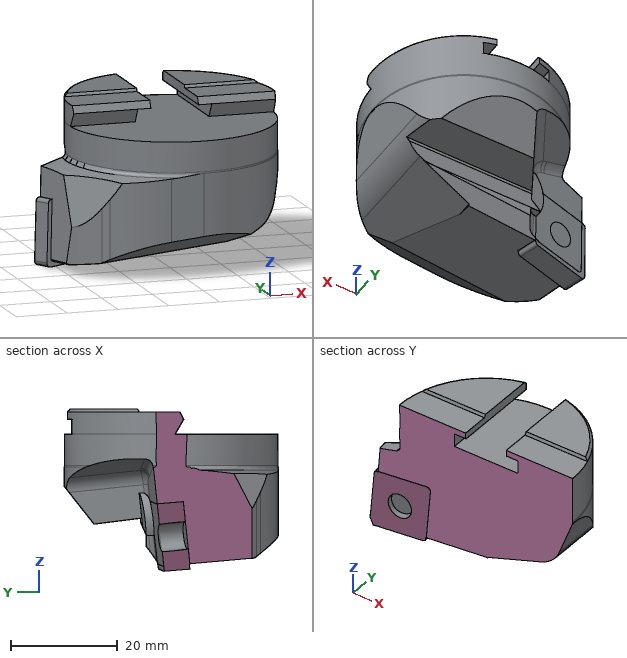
import cadquery as cq
import math

disc_radius = 40.0 / 2
disc_depth = 5.9
far = 70.3

jaw_height = 4.75
ledge_height = 4.15
lip_height = 2.75
jaw_step_back = 6.35
jaw_step_front = 5.95
jaw_top_front = -1.65
jaw_tip_front = -2.35
jaw_root_front = -0.75
slot_half_width = 4.7
undercut_half_width = 7.25
rim_chamfer = jaw_height - ledge_height

body_radius = 20.035
body_depth = 28.1
straight_length = 6.4
flank_angle = math.radians(33.4)
flank_length = 1.5
nose_angle = math.radians(90)
rear_corner_y = 5.62

shoulder_radius = 0.85
shoulder_angle = math.radians(15)
shoulder_reach = 14.05

insert_side = 12.8
insert_thickness = 4.8
insert_hole = 5.15
insert_corner_radius = 0.8
insert_angle = math.radians(80)
insert_nose = (-26.9, -26.35)
insert_rise = 0.09

rake_yaw = 0.2
rake_lean = 0.105
rake_offset = 7.95

pocket_lean = -math.degrees(math.atan(rake_lean))
pocket_wall_x = -9.85
pocket_wall_y = 10.3
pocket_wall_yaw = -30.0
pocket_roof_z = -7.0
pocket_roof_slope = 0.5
roof_fillet = 3.05
corner_fillet = 1.87

pad_height = 1.5
pad_foot = (-14.05, -19.0)
pad_bulge = (-14.55, -15.0)
pad_top = (-12.2, -11.0)
pad_inner_x = -7.95

flank_point = (-24.85, 2.15, -7.87)
flank_normal = (-1, -0.161, 0.08)
facet_corners = [(-23.45, -6.9, -7.8), (-15.7, -17.58, -7.75), (-23.45, -11.35, -16.35)]
under_point = (0, 0, -22.65)
under_normal = (0.1, -0.09, -1)
edge_bevel_point = (-24.0, -10.3, -23.9)
edge_bevel_normal = (-1, -0.26, -1)
front_bevel_point = (0, -body_radius, -18.33)
front_bevel_normal = (0.1, -0.665, -1)
seat_bevel_point = (0, 2.35, -22.85)
seat_bevel_normal = (0.1, 1.3, -1)
seat_back_y = 4.7
seat_slant = [(seat_back_y, -18.9), (5.75, -16.5)]
rear_under_z = -15.05
rear_under_slope = 0.125
back_bevel_point = (0, 19.95, -9.85)
back_bevel_normal = (0, 1.27, -1)

taper_start = (0.35, -22.55)
taper_corner = (15.75, -17.3)
taper_end = (body_radius, -6.25)
taper_fillet = 7.05


def beyond(point, normal):
    """Large block filling the half-space on the normal's side of a plane."""
    return cq.Workplane(cq.Plane(point, normal=normal)).rect(far, far).extrude(far)


def rake_y(x, z):
    return rake_offset + rake_yaw * x + rake_lean * z


def make_disc():
    return cq.Workplane("XY").circle(disc_radius).extrude(-disc_depth - 0.45)


def make_jaws():
    profile = [
        (jaw_root_front, 0), (jaw_tip_front, lip_height), (jaw_top_front, ledge_height),
        (jaw_step_front, ledge_height), (jaw_step_back, jaw_height),
        (disc_radius, jaw_height), (disc_radius, 0),
    ]
    jaws = cq.Workplane("YZ").polyline(profile).close().extrude(disc_radius, both=True)
    round_rim = cq.Workplane("XY").circle(disc_radius).extrude(jaw_height)
    jaws = jaws.intersect(round_rim.faces(">Z").chamfer(rim_chamfer))
    slot = cq.Workplane("XY").rect(2 * slot_half_width, far).extrude(jaw_height)
    undercut = cq.Workplane("XY").rect(2 * undercut_half_width, far).extrude(lip_height)
    return jaws.cut(slot).cut(undercut)


def on_arc(center, angle):
    """Point on an outline arc; the angle runs from -Y towards -X."""
    return (center[0] - body_radius * math.sin(angle), center[1] - body_radius * math.cos(angle))


def make_lower_body():
    front_center = (-straight_length, 0)
    flank_start = on_arc(front_center, flank_angle)
    nose_center = (front_center[0] - flank_length * math.cos(flank_angle),
                   flank_length * math.sin(flank_angle))
    nose_end = on_arc(nose_center, nose_angle)
    return (
        cq.Workplane("XY").moveTo(0, -body_radius)
        .lineTo(*on_arc(front_center, 0))
        .threePointArc(on_arc(front_center, flank_angle / 2), flank_start)
        .lineTo(*on_arc(nose_center, flank_angle))
        .threePointArc(on_arc(nose_center, (flank_angle + nose_angle) / 2), nose_end)
        .lineTo(nose_end[0], rear_corner_y)
        .lineTo(-math.sqrt(body_radius**2 - rear_corner_y**2), rear_corner_y)
        .threePointArc((body_radius, 0), (0, -body_radius))
        .close().extrude(-body_depth)
    )


def make_shoulder():
    """Solid of revolution under the conical shoulder and its blend."""
    sweep = math.pi / 2 - shoulder_angle

    def blend(angle):
        return (disc_radius + shoulder_radius * (1 - math.cos(angle)),
                -disc_depth - shoulder_radius * math.sin(angle))

    start = blend(0)
    end = blend(sweep)
    outer = (end[0] + shoulder_reach, end[1] - shoulder_reach * math.tan(shoulder_angle))
    return (
        cq.Workplane("XZ").moveTo(0, start[1]).lineTo(*start)
        .threePointArc(blend(sweep / 2), end).lineTo(*outer)
        .lineTo(outer[0], -body_depth).lineTo(0, -body_depth).close()
        .revolve(360, (0, 0, 0), (0, 1, 0))
    )


def make_taper():
    profile = [taper_start, taper_corner, taper_end, (far, taper_end[1]), (far, -far), (taper_start[0], -far)]
    taper = cq.Workplane("XZ").polyline(profile).close().extrude(far, both=True)
    corner = cq.selectors.NearestToPointSelector((taper_corner[0], 0, taper_corner[1]))
    return taper.edges("|Y").edges(corner).fillet(taper_fillet)


def make_chip_pocket():
    """Pocket open towards -X, +Y and below, leaning with the rake plane."""
    outer_x = -far / 2
    roof_outer_z = pocket_roof_z + pocket_roof_slope * (pocket_wall_x - outer_x)
    profile = [
        (pocket_wall_x, -far), (pocket_wall_x, pocket_roof_z), (outer_x, roof_outer_z), (outer_x, -far),
    ]
    pocket = cq.Workplane("XZ").polyline(profile).close().extrude(far, both=True)
    roof_corner = cq.selectors.NearestToPointSelector((pocket_wall_x, 0, pocket_roof_z))
    pocket = pocket.edges(roof_corner).fillet(roof_fillet)
    pivot = (pocket_wall_x, pocket_wall_y)
    pocket = pocket.rotate((*pivot, 0), (*pivot, 1), pocket_wall_yaw)
    rake_side = [
        (outer_x, rake_y(outer_x, 0)), (0, rake_y(0, 0)), (0, -far), (outer_x, -far),
    ]
    pocket = pocket.cut(cq.Workplane("XY").workplane(offset=-far).polyline(rake_side).close().extrude(2 * far))
    wall_slope = math.tan(math.radians(pocket_wall_yaw))
    corner_y = rake_y(pocket_wall_x + wall_slope * pocket_wall_y, 0) / (1 + rake_yaw * wall_slope)
    corner_x = pocket_wall_x - wall_slope * (corner_y - pocket_wall_y)
    wall_corner = cq.selectors.NearestToPointSelector((corner_x, corner_y, -far / 2))
    pocket = pocket.edges(wall_corner).fillet(corner_fillet)
    return pocket.rotate((0, 0, 0), (1, 0, 0), pocket_lean)


def make_rear_relief():
    """Space under the raised underside behind the insert seat."""
    front_y = seat_slant[-1][0]
    profile = [
        (seat_back_y, -far), *seat_slant, (front_y, rear_under_z - rear_under_slope * front_y),
        (far, rear_under_z - rear_under_slope * far), (far, -far),
    ]
    return cq.Workplane("YZ").polyline(profile).close().extrude(far, both=True)


def make_seat_bevel():
    """Space under the sloping lower edge of the insert seat."""
    behind_seat = beyond((0, seat_back_y, 0), (0, 1, 0))
    return beyond(seat_bevel_point, seat_bevel_normal).cut(behind_seat)


def make_pad():
    """Pad with a rounded side, standing on the rake plane."""
    prism = (
        cq.Workplane("XZ").moveTo(*pad_foot).threePointArc(pad_bulge, pad_top)
        .lineTo(pad_inner_x, pad_top[1]).lineTo(pad_inner_x, pad_foot[1]).close()
        .extrude(far, both=True)
    )
    outward = cq.Vector(-rake_yaw, 1, -rake_lean).normalized()
    base = cq.Vector(0, rake_y(0, 0), 0)
    rake_plane = cq.Plane(base, normal=outward)
    slab = cq.Workplane(rake_plane).rect(far, far).extrude(pad_height)
    return prism.intersect(slab)


def make_insert_blank():
    nose_x, nose_z = insert_nose
    edge = (1, rake_yaw + rake_lean * insert_rise, insert_rise)
    plane = cq.Plane((nose_x, rake_y(nose_x, nose_z), nose_z), xDir=edge, normal=(rake_yaw, -1, rake_lean))
    lean_x = insert_side * math.cos(insert_angle)
    lean_y = insert_side * math.sin(insert_angle)
    corners = [(0, 0), (insert_side, 0), (insert_side + lean_x, lean_y), (lean_x, lean_y)]
    blank = cq.Workplane(plane).polyline(corners).close().extrude(insert_thickness)
    side_edges = cq.selectors.ParallelDirSelector(plane.zDir)
    blank = blank.edges(side_edges).fillet(insert_corner_radius)
    hole = (
        cq.Workplane(plane).center((insert_side + lean_x) / 2, lean_y / 2)
        .circle(insert_hole / 2).extrude(insert_thickness)
    )
    return blank, hole


def make_head(insert_blank):
    facet_a, facet_b, facet_c = [cq.Vector(*corner) for corner in facet_corners]
    facet_normal = (facet_c - facet_a).cross(facet_b - facet_a)
    lower = make_lower_body().intersect(make_shoulder())
    planes = [
        (flank_point, flank_normal), (facet_corners[0], facet_normal.toTuple()),
        (under_point, under_normal), (front_bevel_point, front_bevel_normal),
        (edge_bevel_point, edge_bevel_normal), (back_bevel_point, back_bevel_normal),
    ]
    for point, normal in planes:
        lower = lower.cut(beyond(point, normal))
    lower = lower.cut(make_taper()).cut(make_seat_bevel())
    head = make_disc().union(lower).cut(make_chip_pocket())
    head = head.union(make_pad()).cut(make_rear_relief())
    return head.union(make_jaws()).cut(insert_blank)


insert_blank, insert_bore = make_insert_blank()
head = make_head(insert_blank)
insert = insert_blank.cut(insert_bore)

result = cq.Compound.makeCompound([head.val(), insert.val()])